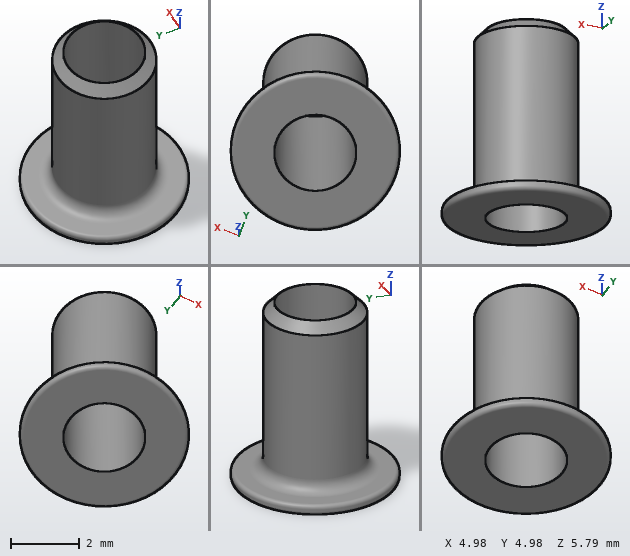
import cadquery as cq

bore_diameter = 2.41
barrel_diameter = 3.07
flange_diameter = 4.98
total_height = 5.79
root_fillet = 0.38
rim_round = 0.125

bore_radius = bore_diameter / 2
barrel_radius = barrel_diameter / 2
flange_radius = flange_diameter / 2
wall = barrel_radius - bore_radius
flange_thickness = wall

chamfer = wall


def make_flange():
    """Flat disc with rounded rim edges, sitting on Z = 0."""
    disc = cq.Workplane("XY").circle(flange_radius).extrude(flange_thickness)
    return disc.edges().fillet(rim_round)


def make_barrel():
    """Upright cylinder with a chamfered top edge."""
    cylinder = cq.Workplane("XY").circle(barrel_radius).extrude(total_height)
    return cylinder.faces(">Z").edges().chamfer(chamfer)


def make_root_blend():
    """Ring with a concave quarter-round section joining barrel and flange."""
    blend_top = flange_thickness + root_fillet
    blend_radius = barrel_radius + root_fillet
    section = (
        cq.Workplane("XZ")
        .moveTo(bore_radius, 0)
        .lineTo(blend_radius, 0)
        .lineTo(blend_radius, flange_thickness)
        .radiusArc((barrel_radius, blend_top), root_fillet)
        .lineTo(bore_radius, blend_top)
        .close()
    )
    return section.revolve(360, (0, 0, 0), (0, 1, 0))


def make_bore():
    """Straight through-hole along the part axis."""
    return cq.Workplane("XY").circle(bore_radius).extrude(total_height)


result = make_flange().union(make_barrel()).union(make_root_blend()).cut(make_bore())